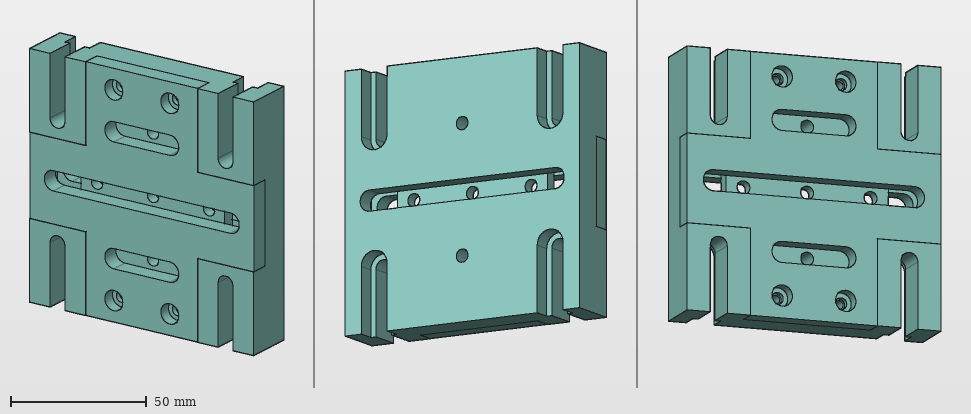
import cadquery as cq
import math

side = 100.0
thickness = 20.0
front_y = -thickness / 2
back_y = thickness / 2

upright_width = 50.0
crossbar_width = 34.0
channel_depth = 7.5
channel_floor_y = front_y + channel_depth

cover_recess = 0.2
cover_thickness = channel_depth - cover_recess
cover_front_y = front_y + cover_recess

clamp_slot_x = 37.5
clamp_slot_end_z = 24.5
clamp_slot_width = 6.6
clamp_head_width = 11.0
clamp_head_depth = 7.0

long_slot_width = 8.0
long_slot_length = 87.0
short_slot_width = 8.0
short_slot_length = 33.0

hole_pitch = 25.0
hole_diameter = 5.0

screw_x = 12.5
screw_z = 41.5
screw_head_diameter = 8.0
screw_head_depth = 5.0
screw_clearance_diameter = 4.5
tap_drill_diameter = 3.3
tap_drill_depth = 8.0
drill_tip_angle = 118.0

bar_length = 64.0
bar_height = 20.0
bar_thickness = 5.0
bar_travel = 14.0
pocket_length = bar_length + 2 * bar_travel

MIRRORED = [(1, 1), (-1, 1), (-1, -1), (1, -1)]
screw_points = [(sx * screw_x, sz * screw_z) for sx, sz in MIRRORED]
bar_hole_points = [(-hole_pitch, 0), (0, 0), (hole_pitch, 0)]
short_slot_points = [(0, -hole_pitch), (0, hole_pitch)]


def plane_at(y):
    """Sketch plane at the given Y: local x is +X, local y is +Z, extrusion runs toward +Y."""
    return cq.Workplane(cq.Plane(origin=(0, y, 0), xDir=(1, 0, 0), normal=(0, -1, 0)))


def block(width, height, start_y, depth):
    return plane_at(start_y).rect(width, height).extrude(-depth)


def cylinders(points, diameter, start_y, depth):
    return plane_at(start_y).pushPoints(points).circle(diameter / 2).extrude(-depth)


def slots(points, length, width, start_y, depth):
    return plane_at(start_y).pushPoints(points).slot2D(length, width).extrude(-depth)


def cross(start_y, depth):
    """Upright and crossbar joined into one cross that reaches all four outer sides."""
    upright = block(upright_width, side, start_y, depth)
    crossbar = block(side, crossbar_width, start_y, depth)
    return upright.union(crossbar)


def clamp_slots(width, start_y, depth):
    """Four upright slots with round inner ends, open at the top and bottom sides."""
    length = 2 * (side / 2 - clamp_slot_end_z) + width
    points = [(sx * clamp_slot_x, sz * side / 2) for sx, sz in MIRRORED]
    return plane_at(start_y).pushPoints(points).slot2D(length, width, 90).extrude(-depth)


def tap_drill(x, z):
    """Blind hole with a conical tip, drilled into the channel floor."""
    radius = tap_drill_diameter / 2
    tip_length = radius / math.tan(math.radians(drill_tip_angle / 2))
    tip_depth = tap_drill_depth + tip_length
    half_section = (
        cq.Workplane(cq.Plane(origin=(x, channel_floor_y, z), xDir=(1, 0, 0), normal=(0, 0, 1)))
        .lineTo(radius, 0)
        .lineTo(radius, tap_drill_depth)
        .lineTo(0, tip_depth)
        .close()
    )
    return half_section.revolve(360, (0, 0), (0, 1))


def make_housing():
    body = block(side, side, front_y, thickness)
    body = body.cut(cross(front_y, channel_depth))
    body = body.cut(clamp_slots(clamp_slot_width, front_y, thickness))
    body = body.cut(clamp_slots(clamp_head_width, back_y - clamp_head_depth, clamp_head_depth))
    body = body.cut(slots([(0, 0)], long_slot_length, long_slot_width, front_y, thickness))
    body = body.cut(cylinders(short_slot_points, hole_diameter, front_y, thickness))
    body = body.cut(block(pocket_length, bar_height, channel_floor_y, bar_thickness))
    for x, z in screw_points:
        body = body.cut(tap_drill(x, z))
    return body


def make_cover():
    plate = cross(cover_front_y, cover_thickness)
    long_slot = slots([(0, 0)], long_slot_length, long_slot_width, cover_front_y, cover_thickness)
    short_slots = slots(short_slot_points, short_slot_length, short_slot_width, cover_front_y, cover_thickness)
    screw_heads = cylinders(screw_points, screw_head_diameter, cover_front_y, screw_head_depth)
    screw_shanks = cylinders(screw_points, screw_clearance_diameter, cover_front_y, cover_thickness)
    return plate.cut(long_slot).cut(short_slots).cut(screw_heads).cut(screw_shanks)


def make_bar():
    body = block(bar_length, bar_height, channel_floor_y, bar_thickness)
    return body.cut(cylinders(bar_hole_points, hole_diameter, channel_floor_y, bar_thickness))


housing = make_housing()
cover = make_cover()
bar = make_bar()

result = cq.Compound.makeCompound([housing.val(), cover.val(), bar.val()])